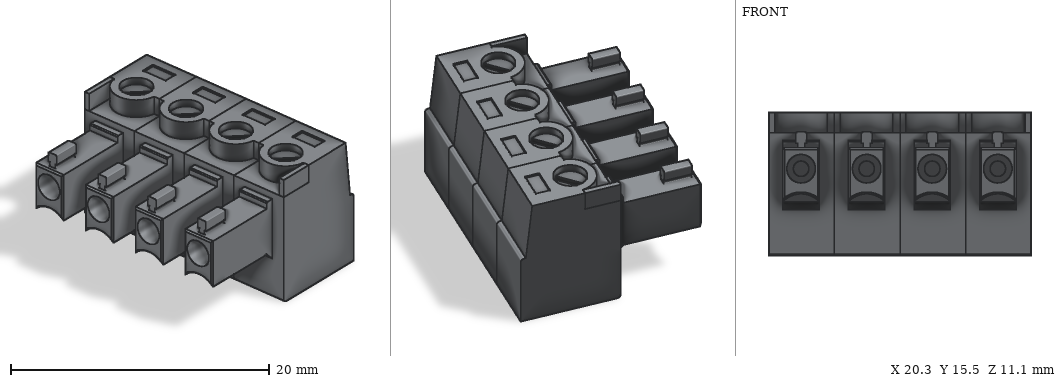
import cadquery as cq

pole_count = 4
pitch = 5.08
row_length = pole_count * pitch
axis_x = 2.5

block_depth = 8.33
block_height = 11.1
ledge_height = 6.12
ledge_edge_radius = 0.3
back_foot_inset = 0.43
back_top_inset = 0.95
base_edge_radius = 0.33

shelf_depth = 2.97
shelf_drop = 1.56
shelf_height = block_height - shelf_drop
boss_radius = 2.05
end_plate_width = 0.45

screw_y = 3.23
screw_diameter = 2.66
screw_height = 1.22
screw_recess = 0.63
screw_slot_width = 0.47
screw_slot_depth = 0.57
screw_slot_angle = 45

label_width = 2.32
label_length = 1.18
label_depth = 0.16
label_y = 5.95

plug_width = 2.82
plug_reach = 7.17
plug_bottom = 4.19
plug_top = 8.33
plug_tip_chamfer = 0.15
groove_rise = 0.59
collar_reach = 0.65
collar_top = 8.92
collar_edge_chamfer = 0.1

bore_z = 6.73
bore_diameter = 2.21
bore_depth = 6.5
inner_bore_diameter = 1.2
inner_bore_depth = 8.13

key_length = 2.32
key_tip_gap = 0.43
key_top = 9.57
key_head_bottom = 8.7
key_head_width = 0.85
key_stem_width = 0.53
key_edge_radius = 0.12
key_foot_radius = 0.08


def box(x_min, x_max, y_min, y_max, z_min, z_max):
    """Box between opposite limits."""
    size = (x_max - x_min, y_max - y_min, z_max - z_min)
    return cq.Workplane("XY").box(*size, centered=False).translate((x_min, y_min, z_min))


def upright_cylinder(diameter, z_min, z_max):
    """Cylinder on the screw axis."""
    return (
        cq.Workplane("XY", origin=(axis_x, screw_y, z_min))
        .circle(diameter / 2)
        .extrude(z_max - z_min)
    )


def make_block():
    """Block with a stepped, leaning back and a rounded lower front edge."""
    profile = [
        (0, 0),
        (block_depth, 0),
        (block_depth, ledge_height),
        (block_depth - back_foot_inset, ledge_height),
        (block_depth - back_top_inset, block_height),
        (0, block_height),
    ]
    block = cq.Workplane("YZ").polyline(profile).close().extrude(pitch)
    block = block.faces(">Y").edges(">Z").fillet(ledge_edge_radius)
    return block.edges("<Y and <Z").fillet(base_edge_radius)


def make_shelf_cut():
    """Space above the front shelf, around the screw boss."""
    space = box(0, pitch, 0, shelf_depth, shelf_height, block_height)
    return space.cut(upright_cylinder(2 * boss_radius, shelf_height, block_height))


def make_label_recess():
    """Shallow rectangular recess in the top."""
    return box(
        axis_x - label_width / 2, axis_x + label_width / 2,
        label_y - label_length / 2, label_y + label_length / 2,
        block_height - label_depth, block_height,
    )


def make_collar():
    """Collar at the root of the plug, sloping back to the block underneath."""
    profile = [
        (0, plug_bottom - collar_reach),
        (-collar_reach, plug_bottom),
        (-collar_reach, collar_top),
        (0, collar_top),
    ]
    collar = (
        cq.Workplane("YZ", origin=(axis_x - plug_width / 2, 0, 0))
        .polyline(profile)
        .close()
        .extrude(plug_width)
    )
    return collar.edges("<Y and >Z").chamfer(collar_edge_chamfer)


def make_plug():
    """Plug bar with an arched underside and a chamfered tip."""
    half_width = plug_width / 2
    bar = (
        cq.Workplane("XZ", origin=(axis_x, -collar_reach, 0))
        .moveTo(-half_width, plug_top)
        .lineTo(-half_width, plug_bottom)
        .threePointArc((0, plug_bottom + groove_rise), (half_width, plug_bottom))
        .lineTo(half_width, plug_top)
        .close()
        .extrude(plug_reach - collar_reach)
    )
    return bar.faces("<Y").edges().chamfer(plug_tip_chamfer)


def make_key():
    """Coding key of T section along the top of the plug, near its tip."""
    y_min = key_tip_gap - plug_reach
    y_max = y_min + key_length
    stem = box(
        axis_x - key_stem_width / 2, axis_x + key_stem_width / 2,
        y_min, y_max, plug_top, key_head_bottom,
    )
    head = box(
        axis_x - key_head_width / 2, axis_x + key_head_width / 2,
        y_min, y_max, key_head_bottom, key_top,
    )
    return stem.union(head.edges("|Y and >Z").fillet(key_edge_radius))


def make_bore():
    """Wide bore from the plug tip, with a narrower bore beyond it."""
    tip = cq.Workplane("XZ", origin=(axis_x, -plug_reach, bore_z))
    wide = tip.circle(bore_diameter / 2).extrude(-bore_depth)
    narrow = tip.circle(inner_bore_diameter / 2).extrude(-inner_bore_depth)
    return wide.union(narrow)


def make_key_foot():
    """Concave fillets along both sides of the key stem, where it meets the plug."""
    y_min = key_tip_gap - plug_reach
    left = axis_x - key_stem_width / 2
    foot_left = left - key_foot_radius
    rounding = (
        cq.Workplane("XZ", origin=(foot_left, y_min, plug_top + key_foot_radius))
        .circle(key_foot_radius)
        .extrude(-key_length)
    )
    foot = box(foot_left, left, y_min, y_min + key_length, plug_top, plug_top + key_foot_radius)
    foot = foot.cut(rounding)
    return foot.union(foot.mirror("YZ", (axis_x, 0, 0)))


def make_pole():
    """One connector pole: block, plug and all their openings."""
    screw_seat = block_height - screw_recess - screw_height
    return (
        make_block()
        .cut(make_shelf_cut())
        .cut(make_label_recess())
        .cut(upright_cylinder(screw_diameter, screw_seat, block_height))
        .union(make_collar())
        .union(make_plug())
        .union(make_key())
        .union(make_key_foot())
        .cut(make_bore())
    )


def make_screw():
    """Slotted screw, sunk in the boss of its pole."""
    screw_top = block_height - screw_recess
    screw = upright_cylinder(screw_diameter, screw_top - screw_height, screw_top)
    slot = (
        cq.Workplane("XY", origin=(axis_x, screw_y, screw_top))
        .transformed(rotate=(0, 0, screw_slot_angle))
        .rect(2 * screw_diameter, screw_slot_width)
        .extrude(-screw_slot_depth)
    )
    return screw.cut(slot)


def make_end_plate(x_min):
    """Plate standing on the shelf at one end of the row."""
    return box(x_min, x_min + end_plate_width, 0, shelf_depth, shelf_height, block_height)


pole = make_pole()
screw = make_screw()
poles = []
screws = []
for index in range(pole_count):
    shift = (index * pitch, 0, 0)
    poles.append(pole.translate(shift).val())
    screws.append(screw.translate(shift).val())

end_plates = [make_end_plate(x_min).val() for x_min in (0, row_length - end_plate_width)]

result = cq.Compound.makeCompound([*poles, *screws, *end_plates])